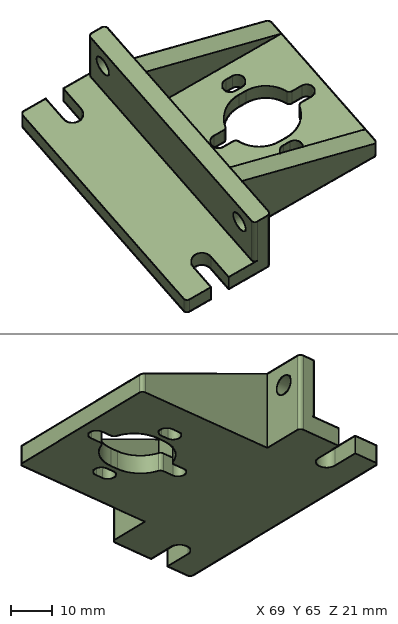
import cadquery as cq

WIDTH = 69.0
HEIGHT = 21.0
THICKNESS = 5.0
FRONT_DEPTH = 20.0
REAR_DEPTH = 40.0
REAR_WIDTH = 45.0
CORNER_RADIUS = 1.0

SCREW_DIAMETER = 5.2
WALL_HOLE_INSET = 6.0
FLANGE_SLOT_REACH = 7.5

TRAVEL = 2.0
OPENING_SETBACK = 18.0
BORE_DIAMETER = 17.0
SMALL_HOLE_DIAMETER = 4.0
SMALL_HOLE_OFFSET = 12.0
RELIEF_RADIUS = 1.0

WALL_BACK = THICKNESS
REAR_EDGE = WALL_BACK + REAR_DEPTH
OPENING_Y = REAR_EDGE - OPENING_SETBACK


def block(width, depth, height, front_y):
    """Box centred on X, standing on Z = 0, with its front face at front_y."""
    return cq.Workplane("XY").box(width, depth, height, centered=(True, False, False)).translate((0, front_y, 0))


def make_front_bracket():
    """L-shaped mounting flange and upright wall with rounded vertical edges."""
    flange = block(WIDTH, FRONT_DEPTH + THICKNESS, THICKNESS, -FRONT_DEPTH).edges("|Z").fillet(CORNER_RADIUS)
    wall = block(WIDTH, THICKNESS, HEIGHT, 0).edges("|Z").fillet(CORNER_RADIUS)
    return flange.union(wall)


def make_carrier():
    """Rear plate with a sloping triangular rib along each side."""
    side_profile = [
        (WALL_BACK, 0),
        (REAR_EDGE, 0),
        (REAR_EDGE, THICKNESS),
        (WALL_BACK, HEIGHT),
    ]
    wedge = cq.Workplane("YZ").polyline(side_profile).close().extrude(REAR_WIDTH / 2, both=True)
    wedge = wedge.edges("|Z and >Y").fillet(CORNER_RADIUS)
    between_ribs = block(REAR_WIDTH - 2 * THICKNESS, REAR_DEPTH, HEIGHT, WALL_BACK)
    return wedge.cut(between_ribs.translate((0, 0, THICKNESS)))


def y_slot(length, diameter, x=0.0):
    """Cutter for a round-ended slot along Y, level with the opening centre in Y."""
    return cq.Workplane("XY").center(x, OPENING_Y).slot2D(length, diameter, 90).extrude(THICKNESS)


def make_opening():
    """Cutter for the bore, its long slot and the two side slots."""
    bore = y_slot(BORE_DIAMETER + TRAVEL, BORE_DIAMETER)
    long_slot = y_slot(2 * SMALL_HOLE_OFFSET + SMALL_HOLE_DIAMETER + TRAVEL, SMALL_HOLE_DIAMETER)
    half_slot = SMALL_HOLE_DIAMETER / 2
    junction_y = (TRAVEL + (BORE_DIAMETER**2 - SMALL_HOLE_DIAMETER**2) ** 0.5) / 2
    margin = 0.1
    opening = bore.union(long_slot)
    for direction in (-1, 1):
        y = OPENING_Y + direction * junction_y
        junctions = cq.selectors.BoxSelector(
            (-half_slot - margin, y - margin, 0),
            (half_slot + margin, y + margin, THICKNESS),
        )
        opening = opening.edges("|Z").edges(junctions).fillet(RELIEF_RADIUS)
    for side in (-1, 1):
        opening = opening.union(
            y_slot(SMALL_HOLE_DIAMETER + TRAVEL, SMALL_HOLE_DIAMETER, side * SMALL_HOLE_OFFSET)
        )
    return opening


def make_wall_holes():
    """Cutter for the two screw holes through the wall."""
    hole_x = WIDTH / 2 - WALL_HOLE_INSET
    hole_z = HEIGHT - WALL_HOLE_INSET
    return (
        cq.Workplane("XZ")
        .pushPoints([(-hole_x, hole_z), (hole_x, hole_z)])
        .circle(SCREW_DIAMETER / 2)
        .extrude(-THICKNESS)
    )


def make_flange_slots():
    """Cutter for the two screw slots open to the flange sides."""
    length = 2 * FLANGE_SLOT_REACH + SCREW_DIAMETER
    return (
        cq.Workplane("XY")
        .pushPoints([(side * WIDTH / 2, -FRONT_DEPTH / 2) for side in (-1, 1)])
        .slot2D(length, SCREW_DIAMETER)
        .extrude(THICKNESS)
    )


result = (
    make_front_bracket()
    .union(make_carrier())
    .cut(make_opening())
    .cut(make_wall_holes())
    .cut(make_flange_slots())
)